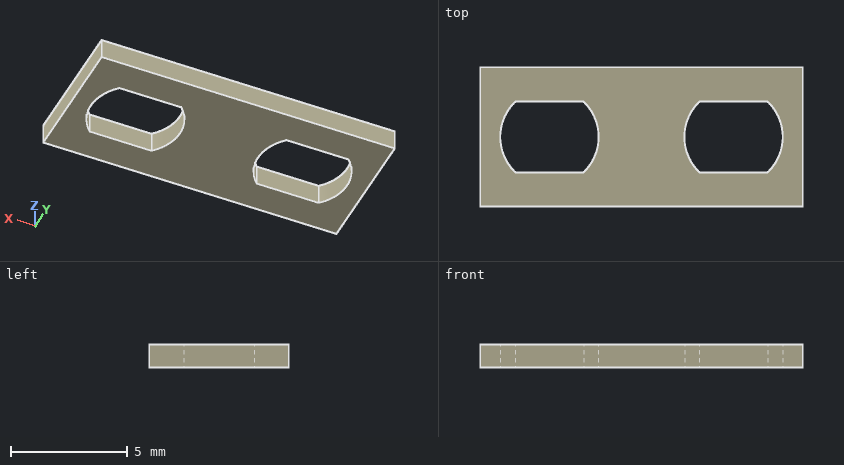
import cadquery as cq

length = 13.9
width = 6.0
thickness = 1.0

hole_diameter = 4.23
hole_across_flats = 3.05
hole_spacing = 7.92


def double_flat_cutter(center_x):
    """Through cutter: a cylinder trimmed by flats on its +Y and -Y sides."""
    cylinder = cq.Workplane("XY").circle(hole_diameter / 2).extrude(thickness)
    flats = cq.Workplane("XY").rect(hole_diameter, hole_across_flats).extrude(thickness)
    return cylinder.intersect(flats).translate((center_x, 0, 0))


result = cq.Workplane("XY").rect(length, width).extrude(thickness)
for side in (-1, 1):
    result = result.cut(double_flat_cutter(side * hole_spacing / 2))